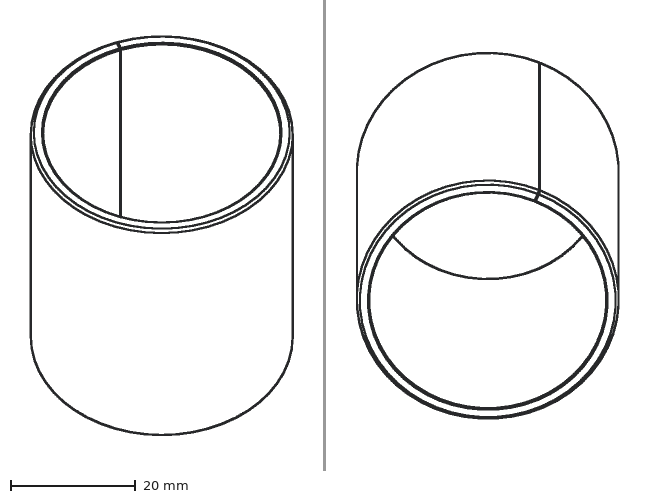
import cadquery as cq

length = 50.0
outer_diameter = 42.0
wall = 2.0
outer_chamfer = 0.5
inner_chamfer = 0.2
slit_width = 0.2

outer_radius = outer_diameter / 2
inner_radius = outer_radius - wall


def sleeve():
    """Revolved wall section with chamfered rims at both ends."""
    half = [
        (inner_radius, inner_chamfer),
        (inner_radius + inner_chamfer, 0),
        (outer_radius - outer_chamfer, 0),
        (outer_radius, outer_chamfer),
    ]
    mirrored = [(radius, length - height) for radius, height in reversed(half)]
    section = cq.Workplane("XZ").polyline(half + mirrored).close()
    return section.revolve(360, (0, 0, 0), (0, 1, 0))


def slit():
    """Thin cutter through the wall on the -X side, with one face on the XZ plane."""
    cutter = cq.Workplane("XY").box(outer_radius, slit_width, length, centered=False)
    return cutter.translate((-outer_radius, 0, 0))


result = sleeve().cut(slit())